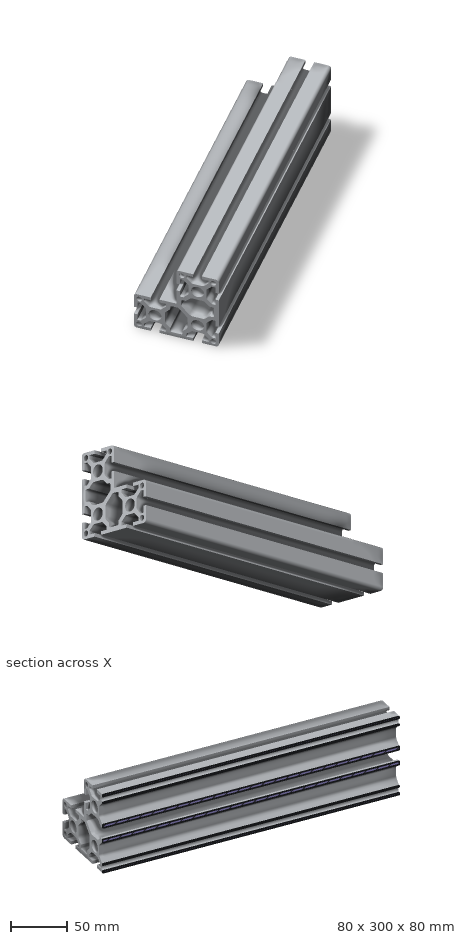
import cadquery as cq

length = 300.0
side = 80.0
cell = side / 2
half_cell = cell / 2
corner_radius = 3.0

slot_opening = 8.0
slot_inner_width = 21.0
lip_thickness = 3.3
slot_blend_radius = 3.0
slot_floor = 8.5

web_offset = 3.0

core_hole_diameter = 12.0
corner_hole_diameter = 5.5
corner_hole_inset = 5.0

chamber_floor = 9.3
chamber_blend_radius = 4.5
chamber_wall = 4.5
chamber_end_width = 11.7
chamber_end_radius = 1.5

top_cell = (half_cell, half_cell)
corner_cell = (half_cell, -half_cell)
left_cell = (-half_cell, -half_cell)

UP, LEFT, DOWN, RIGHT = 0, 90, 180, 270
slot_directions = [
    (top_cell, (UP, LEFT, RIGHT)),
    (corner_cell, (DOWN, RIGHT)),
    (left_cell, (UP, LEFT, DOWN)),
]

free_corners = [
    (top_cell, -1, 1),
    (top_cell, 1, 1),
    (corner_cell, 1, -1),
    (left_cell, -1, -1),
    (left_cell, -1, 1),
]


def prism(points):
    """Extrude a closed polygon over the full length, centred on the XY plane."""
    return cq.Workplane("XY").polyline(points).close().extrude(length / 2, both=True)


def bores(centers, diameter):
    return cq.Workplane("XY").pushPoints(centers).circle(diameter / 2).extrude(length / 2, both=True)


def make_body():
    """Solid L with rounded outer corners and a sharp inner corner."""
    half = side / 2
    body = prism([(-half, -half), (half, -half), (half, half), (0, half), (0, 0), (-half, 0)])
    return body.edges("|Z").edges("<X or >X or >Y").fillet(corner_radius)


def make_slot():
    """T-slot of a cell centred on the origin, opening towards +Y."""
    mouth = slot_opening / 2
    wall = slot_inner_width / 2
    lip = half_cell - lip_thickness
    right_half = [
        (slot_floor - web_offset, slot_floor),
        (wall, wall + web_offset),
        (wall, lip),
        (mouth, lip),
        (mouth, half_cell),
    ]
    left_half = [(-x, y) for x, y in reversed(right_half)]
    return prism(right_half + left_half).edges("|Z").edges("<Y").fillet(slot_blend_radius)


def make_chamber():
    """Chamber between the top and corner cells; one web runs on into the inner corner of the L."""
    end = half_cell - chamber_wall
    floor = half_cell - chamber_floor
    floor_half_width = chamber_floor - web_offset
    shoulder = chamber_end_width / 2
    shoulder_x = half_cell - shoulder - web_offset
    inner_corner_y = end + web_offset - half_cell
    chamber = prism([
        (-floor_half_width, floor),
        (floor_half_width, floor),
        (shoulder_x, shoulder),
        (end, shoulder),
        (end, -shoulder),
        (shoulder_x, -shoulder),
        (floor_half_width, -floor),
        (-floor_half_width, -floor),
        (-end, inner_corner_y),
        (-end, shoulder),
        (-shoulder_x, shoulder),
    ])
    for floor_side in (">Y", "<Y"):
        chamber = chamber.edges("|Z").edges(floor_side).fillet(chamber_blend_radius)
    chamber = chamber.edges("|Z").edges(">X").fillet(chamber_end_radius)
    chamber = chamber.edges("|Z").edges("<X").edges(">Y").fillet(chamber_end_radius)
    return chamber.translate((half_cell, 0, 0))


profile = make_body()

slot = make_slot()
for center, directions in slot_directions:
    for angle in directions:
        profile = profile.cut(slot.rotate((0, 0, 0), (0, 0, 1), angle).translate((*center, 0)))

chamber = make_chamber()
profile = profile.cut(chamber)
profile = profile.cut(chamber.rotate((0, 0, 0), (1, -1, 0), 180))

corner_reach = half_cell - corner_hole_inset
corner_holes = [(x + sx * corner_reach, y + sy * corner_reach) for (x, y), sx, sy in free_corners]
profile = profile.cut(bores([top_cell, corner_cell, left_cell], core_hole_diameter))
profile = profile.cut(bores(corner_holes, corner_hole_diameter))

result = profile.rotate((0, 0, 0), (1, 0, 0), 90)